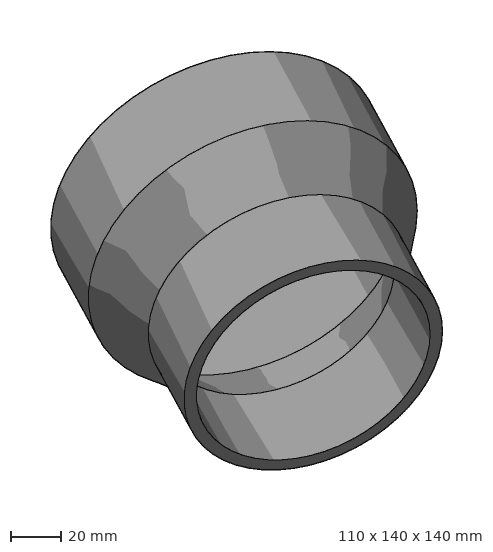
import cadquery as cq

wide_outer_diameter = 140.0
wide_bore_diameter = 126.5
narrow_outer_diameter = 110.0
narrow_bore_diameter = 99.4

total_length = 110.0
wide_length = 42.3
narrow_length = 40.0
narrow_start = total_length - narrow_length


def stepped_solid(wide_diameter, narrow_diameter):
    """Wide cylinder, cone and narrow cylinder revolved about the X axis."""
    wide_radius = wide_diameter / 2
    narrow_radius = narrow_diameter / 2
    half_profile = (
        cq.Workplane("XY")
        .moveTo(0, 0)
        .lineTo(0, wide_radius)
        .lineTo(wide_length, wide_radius)
        .lineTo(narrow_start, narrow_radius)
        .lineTo(total_length, narrow_radius)
        .lineTo(total_length, 0)
        .close()
    )
    return half_profile.revolve(360, (0, 0, 0), (1, 0, 0))


outer_body = stepped_solid(wide_outer_diameter, narrow_outer_diameter)
bore = stepped_solid(wide_bore_diameter, narrow_bore_diameter)
result = outer_body.cut(bore)